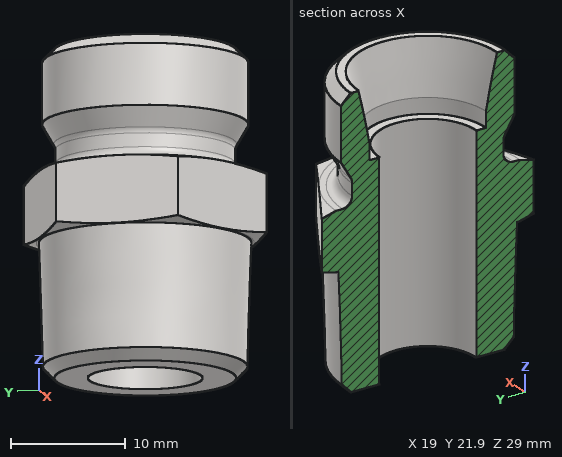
import cadquery as cq
import math

total_height = 29.0
hex_bottom_z = 12.0
hex_height = 6.0
hex_top_z = hex_bottom_z + hex_height

hex_across_flats = 19.0
hex_half_sector = 30.0
hex_across_corners = hex_across_flats / math.cos(math.radians(hex_half_sector))
hex_bevel_angle = 15.0

stud_end_radius = 17.86 / 2
stud_taper = 1 / 16
end_chamfer = 1.0

collar_radius = 18.0 / 2
collar_length = 6.5
neck_radius = 15.7 / 2
groove_fillet = 1.0
groove_flank_angle = 30.0

bore_diameter = 10.0
socket_diameter = 12.0
socket_depth = 7.0
mouth_diameter = 14.3
mouth_half_angle = 12.0


def make_body():
    """Revolve the round outline of the stud, neck and collar."""
    stud_top_radius = stud_end_radius + (hex_bottom_z - end_chamfer) * stud_taper / 2

    flank = math.radians(groove_flank_angle)
    flank_foot_radius = neck_radius + groove_fillet * (1 - math.cos(flank))
    collar_bottom_z = total_height - collar_length
    flank_foot_z = collar_bottom_z - (collar_radius - flank_foot_radius) / math.tan(flank)
    neck_top_z = flank_foot_z - groove_fillet * math.sin(flank)
    fillet_middle = (
        neck_radius + groove_fillet * (1 - math.cos(flank / 2)),
        neck_top_z + groove_fillet * math.sin(flank / 2),
    )

    return (
        cq.Workplane("XZ")
        .lineTo(stud_end_radius - end_chamfer, 0)
        .lineTo(stud_end_radius, end_chamfer)
        .lineTo(stud_top_radius, hex_bottom_z)
        .lineTo(stud_top_radius, hex_top_z)
        .lineTo(neck_radius + groove_fillet, hex_top_z)
        .radiusArc((neck_radius, hex_top_z + groove_fillet), groove_fillet)
        .lineTo(neck_radius, neck_top_z)
        .threePointArc(fillet_middle, (flank_foot_radius, flank_foot_z))
        .lineTo(collar_radius, collar_bottom_z)
        .lineTo(collar_radius, total_height - end_chamfer)
        .lineTo(collar_radius - end_chamfer, total_height)
        .lineTo(0, total_height)
        .close()
        .revolve(360, (0, 0, 0), (0, 1, 0))
    )


def make_hexagon():
    """Hexagonal prism trimmed by a double cone that bevels its corners."""
    prism = (
        cq.Workplane("XY", origin=(0, 0, hex_bottom_z))
        .transformed(rotate=(0, 0, hex_half_sector))
        .polygon(6, hex_across_corners)
        .extrude(hex_height)
    )
    flat_radius = hex_across_flats / 2
    corner_radius = hex_across_corners / 2
    bevel_drop = (corner_radius - flat_radius) * math.tan(math.radians(hex_bevel_angle))
    envelope = (
        cq.Workplane("XZ")
        .moveTo(0, hex_bottom_z)
        .lineTo(flat_radius, hex_bottom_z)
        .lineTo(corner_radius, hex_bottom_z + bevel_drop)
        .lineTo(corner_radius, hex_top_z - bevel_drop)
        .lineTo(flat_radius, hex_top_z)
        .lineTo(0, hex_top_z)
        .close()
        .revolve(360, (0, 0, 0), (0, 1, 0))
    )
    return prism.intersect(envelope)


def make_bore():
    """Through bore, tube socket and conical mouth as one cutting body."""
    bore_radius = bore_diameter / 2
    socket_radius = socket_diameter / 2
    mouth_radius = mouth_diameter / 2
    socket_floor_z = total_height - socket_depth
    mouth_depth = (mouth_radius - socket_radius) / math.tan(math.radians(mouth_half_angle))
    return (
        cq.Workplane("XZ")
        .lineTo(bore_radius, 0)
        .lineTo(bore_radius, socket_floor_z)
        .lineTo(socket_radius, socket_floor_z)
        .lineTo(socket_radius, total_height - mouth_depth)
        .lineTo(mouth_radius, total_height)
        .lineTo(0, total_height)
        .close()
        .revolve(360, (0, 0, 0), (0, 1, 0))
    )


result = make_body().union(make_hexagon()).cut(make_bore())